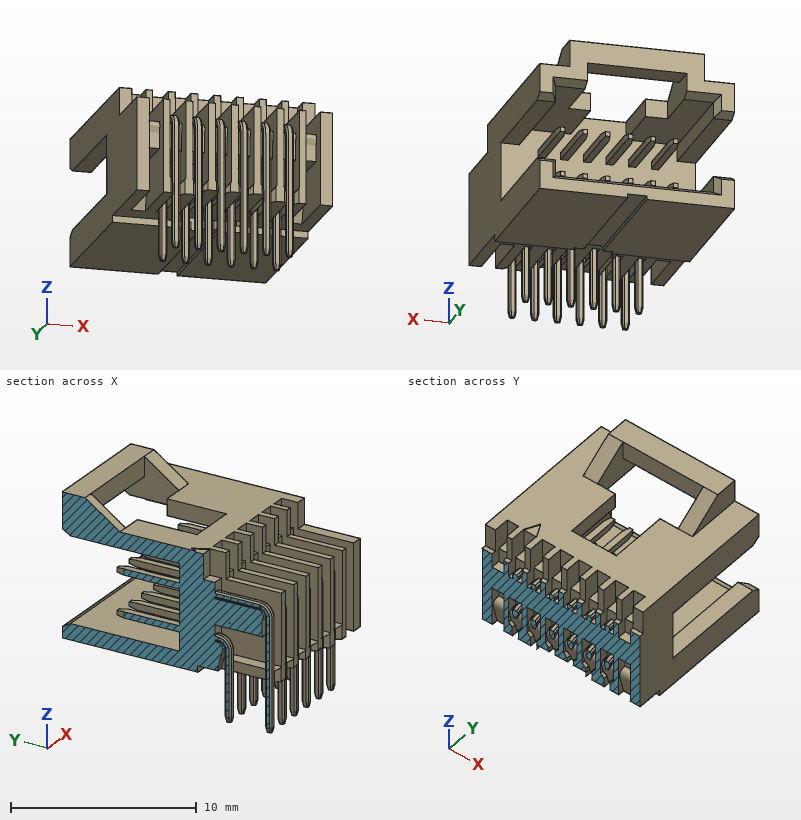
import cadquery as cq
import math


width = 10.95
length = 13.4
body_top = 7.18
rear_top = 5.61
rear_step_y = 3.5
rear_bottom = 0.38
foot_y = 4.89

cavity_back_y = 6.05
cavity_width = 8.87
floor_z = 1.0
ceiling_z = body_top - floor_z
window_bottom = 1.93
window_top = body_top - window_bottom
lead_in_length = 0.52
lead_in_height = 0.31

latch_width = 7.58
latch_opening = 5.57
latch_top = 8.7
latch_bar_bottom = 7.49
latch_bar_y = 11.95
latch_ramp_y = 9.78
key_slot_width = 3.1

pin_count = 6
pitch = 1.27
pin_size = 0.4
pin_edge = 0.1
pin_end = 0.25
tip_y = 10.01
tip_length = 0.52
tail_end_z = -2.55
tail_tip_length = 0.32
upper_row_z = 4.85
upper_row_y = 0.47
row_offset = 2.55
bend_radius = 0.62

pin_slot_width = 0.88
end_slot_width = 0.79
end_slot_x = 4.38
slot_depth = 4.52
core_wall_y = 3.79
shelf_gap = rear_top - (upper_row_z - pin_size / 2)
nose_radius = 0.34
chin_height = 0.38
chin_slope = 0.25

guide_height = 0.88
guide_top_drop = 0.25
guide_front_y = 0.3
guide_corner = 0.04

rear_recess_width = 3.08
rear_recess_flare = 0.16
rear_recess_flare_depth = 0.24
rear_recess_top = 0.7
recess_wall_y = 5.16
notch_width = 2.15
key_groove_width = 1.07
key_groove_floor_width = 0.67
key_groove_top = 0.2
key_funnel_depth = 0.2

mark_length = 0.88
mark_depth = 0.05

pin_positions = [(i - (pin_count - 1) / 2) * pitch for i in range(pin_count)]


def box(x0, x1, y0, y1, z0, z1):
    return cq.Workplane("XY").box(x1 - x0, y1 - y0, z1 - z0, centered=False).translate((x0, y0, z0))


def centred_box(box_width, y0, y1, z0, z1):
    return box(-box_width / 2, box_width / 2, y0, y1, z0, z1)


def side_profile(points, profile_width):
    """Extrude a closed (Y, Z) outline symmetrically about the middle plane."""
    return cq.Workplane("YZ").polyline(points).close().extrude(profile_width / 2, both=True)


def plan_profile(points, z0, z1):
    """Extrude a closed (X, Y) outline from z0 to z1."""
    return cq.Workplane("XY", origin=(0, 0, z0)).polyline(points).close().extrude(z1 - z0)


def mouth(bottom, top, mouth_width):
    """Opening from the cavity back to the mating face, with lead-in bevels."""
    lead_y = length - lead_in_length
    points = [
        (cavity_back_y, bottom),
        (lead_y, bottom),
        (length, bottom - lead_in_height),
        (length, top + lead_in_height),
        (lead_y, top),
        (cavity_back_y, top),
    ]
    return side_profile(points, mouth_width)


def cavity_plan():
    """Cavity footprint, flared at the mating face like the floor and ceiling."""
    half_cavity = cavity_width / 2
    half_mouth = half_cavity + lead_in_height
    lead_y = length - lead_in_length
    points = [
        (-half_cavity, cavity_back_y),
        (half_cavity, cavity_back_y),
        (half_cavity, lead_y),
        (half_mouth, length),
        (-half_mouth, length),
        (-half_cavity, lead_y),
    ]
    return plan_profile(points, 0, body_top)


def housing_shell():
    outline = [
        (0, rear_bottom),
        (foot_y, rear_bottom),
        (foot_y, 0),
        (length, 0),
        (length, body_top),
        (rear_step_y, body_top),
        (rear_step_y, rear_top),
        (0, rear_top),
    ]
    shell = side_profile(outline, width)
    shell = shell.cut(mouth(window_bottom, window_top, width))
    cavity = mouth(floor_z, ceiling_z, width).intersect(cavity_plan())
    return shell.cut(cavity)


def latch_arch():
    outline = [
        (length, body_top),
        (length, latch_top),
        (latch_bar_y, latch_top),
        (latch_ramp_y, body_top),
    ]
    return side_profile(outline, latch_width)


def top_opening():
    under_latch = centred_box(latch_opening, latch_ramp_y, length, ceiling_z, latch_bar_bottom)
    before_bar = centred_box(latch_opening, latch_ramp_y, latch_bar_y, ceiling_z, latch_top)
    key_slot = centred_box(key_slot_width, cavity_back_y, latch_ramp_y, ceiling_z, body_top)
    return under_latch.union(before_bar).union(key_slot)


def slot_cutter(x, slot_width):
    """Rear slot whose inner outline leaves two round-nosed shelves, one per pin row."""
    upper_shelf = upper_row_z - pin_size / 2
    lower_shelf = upper_shelf - row_offset
    nose_y = upper_row_y + bend_radius - nose_radius
    lower_nose_y = nose_y + row_offset
    gap_floor = lower_shelf + shelf_gap
    chin = upper_shelf - nose_radius
    lower_chin = lower_shelf - nose_radius
    chin_end_y = nose_y + chin_slope * chin_height
    lower_chin_end_y = lower_nose_y + chin_slope * lower_chin
    bevel = nose_radius * (1 - math.sqrt(0.5))
    outline = (
        cq.Workplane("YZ", origin=(x, 0, 0))
        .moveTo(0, 0)
        .lineTo(0, body_top)
        .lineTo(slot_depth, body_top)
        .lineTo(slot_depth, rear_top)
        .lineTo(core_wall_y, rear_top)
        .lineTo(core_wall_y, upper_shelf)
        .lineTo(nose_y + nose_radius, upper_shelf)
        .threePointArc((nose_y + bevel, upper_shelf - bevel), (nose_y, chin))
        .lineTo(chin_end_y, chin - chin_height)
        .lineTo(chin_end_y, gap_floor)
        .lineTo(core_wall_y, gap_floor)
        .lineTo(core_wall_y, lower_shelf)
        .lineTo(lower_nose_y + nose_radius, lower_shelf)
        .threePointArc((lower_nose_y + bevel, lower_shelf - bevel), (lower_nose_y, lower_chin))
        .lineTo(lower_chin_end_y, 0)
        .close()
    )
    return outline.extrude(slot_width / 2, both=True)


def slot_guides(x):
    """Pair of bevelled cheeks that close a pin slot onto its pin near the bottom."""
    half_slot = pin_slot_width / 2
    half_pin = pin_size / 2
    top = rear_bottom + guide_height
    section = [
        (x - half_slot, rear_bottom),
        (x + half_slot, rear_bottom),
        (x + half_slot, top),
        (x + half_pin, top - guide_top_drop),
        (x - half_pin, top - guide_top_drop),
        (x - half_slot, top),
    ]
    cheeks = cq.Workplane("XZ").polyline(section).close().extrude(-slot_depth)
    entry = [
        (x - half_slot + guide_corner, 0),
        (x - half_pin, guide_front_y),
        (x - half_pin, slot_depth),
        (x + half_pin, slot_depth),
        (x + half_pin, guide_front_y),
        (x + half_slot - guide_corner, 0),
    ]
    return cheeks.cut(plan_profile(entry, 0, top))


def underside_recesses():
    half_rear = rear_recess_width / 2
    half_mouth = half_rear + rear_recess_flare
    flare_y = recess_wall_y - rear_recess_flare_depth
    rear = plan_profile(
        [
            (-half_mouth, 0),
            (half_mouth, 0),
            (half_mouth, flare_y),
            (half_rear, recess_wall_y),
            (-half_rear, recess_wall_y),
            (-half_mouth, flare_y),
        ],
        rear_bottom,
        rear_recess_top,
    )
    notch = centred_box(notch_width, foot_y, recess_wall_y, 0, rear_bottom)
    funnel = plan_profile(
        [
            (-key_groove_width / 2, recess_wall_y),
            (key_groove_width / 2, recess_wall_y),
            (key_groove_floor_width / 2, recess_wall_y + key_funnel_depth),
            (-key_groove_floor_width / 2, recess_wall_y + key_funnel_depth),
        ],
        0,
        rear_recess_top,
    )
    key_groove = centred_box(key_groove_width, recess_wall_y, length, 0, key_groove_top)
    return rear.union(notch).union(funnel).union(key_groove)


def pin_one_mark():
    x = pin_positions[0]
    half_mark = pin_slot_width / 2
    triangle = [(x - half_mark, slot_depth), (x + half_mark, slot_depth), (x, slot_depth + mark_length)]
    return plan_profile(triangle, body_top - mark_depth, body_top)


def pin(x, row_y, row_z):
    """Right-angle contact: bevelled bent tail and a square mating end."""
    half = pin_size / 2
    flat = half - pin_edge
    octagon = [
        (half, -flat), (half, flat), (flat, half), (-flat, half),
        (-half, flat), (-half, -flat), (-flat, -half), (flat, -half),
    ]
    tail_shoulder_z = tail_end_z + tail_tip_length
    bend_y = row_y + bend_radius
    bend_z = row_z - bend_radius
    inset = bend_radius * (1 - math.sqrt(0.5))
    path = (
        cq.Workplane("YZ", origin=(x, 0, 0))
        .moveTo(row_y, tail_shoulder_z)
        .lineTo(row_y, bend_z)
        .threePointArc((row_y + inset, row_z - inset), (bend_y, row_z))
        .lineTo(cavity_back_y, row_z)
    )
    tail_plane = cq.Workplane("XY", origin=(x, row_y, tail_shoulder_z))
    tail = tail_plane.polyline(octagon).close().sweep(path)
    taper = pin_end / pin_size
    small_octagon = [(u * taper, v * taper) for u, v in octagon]
    tail_tip = (
        tail_plane.polyline(octagon).close()
        .workplane(offset=-tail_tip_length).polyline(small_octagon).close()
        .loft(ruled=True)
    )
    shoulder_y = tip_y - tip_length
    square_end = box(x - half, x + half, cavity_back_y, shoulder_y, row_z - half, row_z + half)
    tip = (
        cq.Workplane("XZ", origin=(x, shoulder_y, row_z)).rect(pin_size, pin_size)
        .workplane(offset=-tip_length).rect(pin_end, pin_end)
        .loft(ruled=True)
    )
    return tail.union(tail_tip).union(square_end).union(tip)


housing = housing_shell().union(latch_arch()).cut(top_opening())
for slot_x in (-end_slot_x, end_slot_x):
    housing = housing.cut(slot_cutter(slot_x, end_slot_width))
for slot_x in pin_positions:
    housing = housing.cut(slot_cutter(slot_x, pin_slot_width))
    housing = housing.union(slot_guides(slot_x))
housing = housing.cut(underside_recesses()).cut(pin_one_mark())

result = housing
for pin_x in pin_positions:
    result = result.union(pin(pin_x, upper_row_y, upper_row_z))
    result = result.union(pin(pin_x, upper_row_y + row_offset, upper_row_z - row_offset))